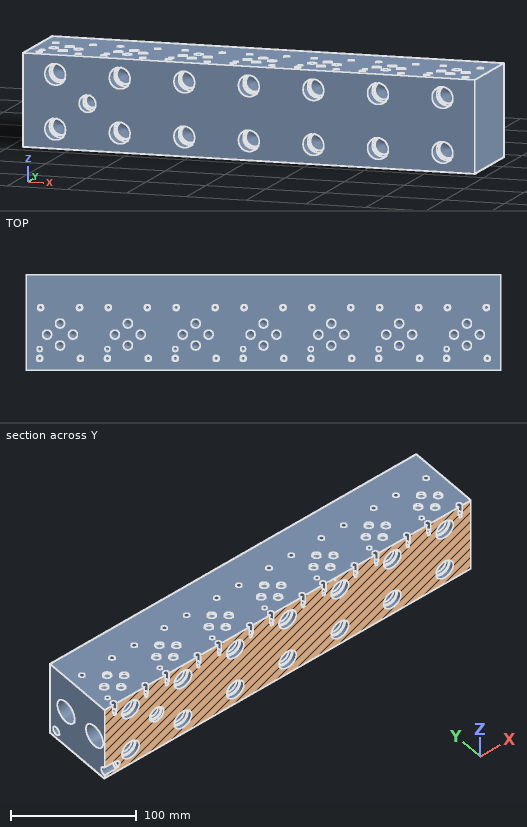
import cadquery as cq
import math

STATION_COUNT = 7
STATION_PITCH = 53.975
BLOCK_LENGTH = STATION_COUNT * STATION_PITCH
BLOCK_WIDTH = 76.2
BLOCK_HEIGHT = 76.2
STATION_CENTRES = [(index + 0.5) * STATION_PITCH for index in range(STATION_COUNT)]

DRILL_POINT_ANGLE = 118.0

PORT_THREAD_DIAMETER = 17.3
PORT_DRILL_DIAMETER = 14.3
PORT_THREAD_DEPTH = 12.0
PORT_DRILL_DEPTH = 15.0
PORT_EDGE_DISTANCE = 15.875
PORT_HEIGHTS = (PORT_EDGE_DISTANCE, BLOCK_HEIGHT - PORT_EDGE_DISTANCE)

GAUGE_THREAD_DIAMETER = 13.87
GAUGE_DRILL_DIAMETER = 10.72
GAUGE_THREAD_DEPTH = 10.0
GAUGE_DRILL_DEPTH = 13.0

SUPPLY_THREAD_DIAMETER = 21.59
SUPPLY_DRILL_DIAMETER = 17.48
SUPPLY_THREAD_DEPTH = 20.0
SUPPLY_DRILL_DEPTH = 30.0
SUPPLY_EDGE_DISTANCE = 20.24

END_BOLT_THREAD_DIAMETER = 7.92
END_BOLT_DRILL_DIAMETER = 6.53
END_BOLT_THREAD_DEPTH = 12.0
END_BOLT_DRILL_DEPTH = 14.0
END_BOLT_EDGE_DISTANCE = 7.94

BOLT_ROW_Y = 9.525
VALVE_BOLT_THREAD_DIAMETER = 4.83
VALVE_BOLT_DRILL_DIAMETER = 3.79
VALVE_BOLT_THREAD_DEPTH = 9.0
VALVE_BOLT_DRILL_DEPTH = 12.0
BOLT_FRONT_SPACING = 32.5
BOLT_REAR_SPACING = 31.0
BOLT_ROW_SPACING = 40.5
VALVE_BOLT_OFFSETS = (
    (-BOLT_FRONT_SPACING / 2, 0),
    (BOLT_FRONT_SPACING / 2, 0),
    (-BOLT_REAR_SPACING / 2, BOLT_ROW_SPACING),
    (BOLT_REAR_SPACING / 2, BOLT_ROW_SPACING),
)

VALVE_PORT_DIAMETER = 7.14
VALVE_PORT_DEPTH = 2.1
VALVE_PORT_HALF_SPREAD = 10.3
PRESSURE_TANK_ROW = 19.0
WORK_PORT_FRONT_ROW = 10.3
WORK_PORT_REAR_ROW = 27.8
VALVE_PORT_OFFSETS = (
    (-VALVE_PORT_HALF_SPREAD, PRESSURE_TANK_ROW),
    (VALVE_PORT_HALF_SPREAD, PRESSURE_TANK_ROW),
    (0, WORK_PORT_FRONT_ROW),
    (0, WORK_PORT_REAR_ROW),
)

PIN_DIAMETER = 3.96
PIN_DEPTH = 5.0
PIN_ROW = 7.5
PIN_OFFSET = (-BOLT_FRONT_SPACING / 2, PIN_ROW)

INTO_FRONT = cq.Vector(0, 1, 0)
INTO_END = cq.Vector(1, 0, 0)
INTO_TOP = cq.Vector(0, 0, -1)


def drilled_hole(mouth, direction, diameter, depth):
    """Blind hole with a full-diameter depth and a conical drill point."""
    start = cq.Vector(*mouth)
    radius = diameter / 2
    point_length = radius / math.tan(math.radians(DRILL_POINT_ANGLE / 2))
    bore = cq.Solid.makeCylinder(radius, depth, start, direction)
    point = cq.Solid.makeCone(radius, 0, point_length, start + direction * depth, direction)
    return [bore, point]


def threaded_hole(mouth, direction, thread_diameter, thread_depth, drill_diameter, drill_depth):
    """Thread envelope at the mouth of a deeper tap-drill hole."""
    thread = cq.Solid.makeCylinder(thread_diameter / 2, thread_depth, cq.Vector(*mouth), direction)
    return [thread] + drilled_hole(mouth, direction, drill_diameter, drill_depth)


def front_ports():
    cutters = []
    for x in STATION_CENTRES:
        for z in PORT_HEIGHTS:
            cutters += threaded_hole(
                (x, 0, z), INTO_FRONT,
                PORT_THREAD_DIAMETER, PORT_THREAD_DEPTH,
                PORT_DRILL_DIAMETER, PORT_DRILL_DEPTH,
            )
    return cutters


def gauge_port():
    """Single port midway between the first two stations, at mid height."""
    return threaded_hole(
        (STATION_PITCH, 0, BLOCK_HEIGHT / 2), INTO_FRONT,
        GAUGE_THREAD_DIAMETER, GAUGE_THREAD_DEPTH,
        GAUGE_DRILL_DIAMETER, GAUGE_DRILL_DEPTH,
    )


def end_face_holes():
    """Pressure and tank ports with a mounting bolt hole below each."""
    cutters = []
    for y in (SUPPLY_EDGE_DISTANCE, BLOCK_WIDTH - SUPPLY_EDGE_DISTANCE):
        cutters += threaded_hole(
            (0, y, BLOCK_HEIGHT / 2), INTO_END,
            SUPPLY_THREAD_DIAMETER, SUPPLY_THREAD_DEPTH,
            SUPPLY_DRILL_DIAMETER, SUPPLY_DRILL_DEPTH,
        )
    for y in (END_BOLT_EDGE_DISTANCE, BLOCK_WIDTH - END_BOLT_EDGE_DISTANCE):
        cutters += threaded_hole(
            (0, y, END_BOLT_EDGE_DISTANCE), INTO_END,
            END_BOLT_THREAD_DIAMETER, END_BOLT_THREAD_DEPTH,
            END_BOLT_DRILL_DIAMETER, END_BOLT_DRILL_DEPTH,
        )
    return cutters


def valve_station(centre_x):
    """Four fluid ports, four bolt holes and one locating pin hole in the top face."""
    def on_top(offset):
        return (centre_x + offset[0], BOLT_ROW_Y + offset[1], BLOCK_HEIGHT)

    cutters = drilled_hole(on_top(PIN_OFFSET), INTO_TOP, PIN_DIAMETER, PIN_DEPTH)
    for offset in VALVE_PORT_OFFSETS:
        cutters += drilled_hole(on_top(offset), INTO_TOP, VALVE_PORT_DIAMETER, VALVE_PORT_DEPTH)
    for offset in VALVE_BOLT_OFFSETS:
        cutters += threaded_hole(
            on_top(offset), INTO_TOP,
            VALVE_BOLT_THREAD_DIAMETER, VALVE_BOLT_THREAD_DEPTH,
            VALVE_BOLT_DRILL_DIAMETER, VALVE_BOLT_DRILL_DEPTH,
        )
    return cutters


block = cq.Solid.makeBox(BLOCK_LENGTH, BLOCK_WIDTH, BLOCK_HEIGHT)
holes = front_ports() + gauge_port() + end_face_holes()
for station_x in STATION_CENTRES:
    holes += valve_station(station_x)

result = cq.Workplane("XY").newObject([block.cut(*holes)])